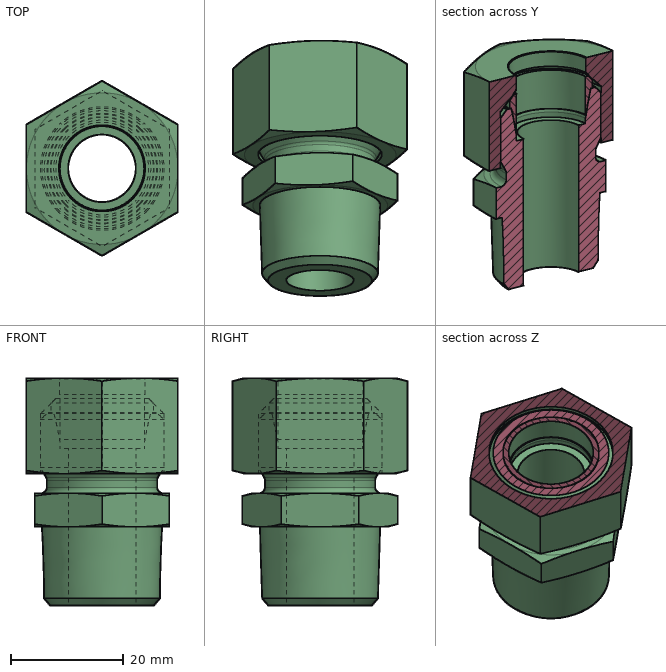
import cadquery as cq
import math


TOTAL_HEIGHT = 40.5
NUT_FLATS = 27.0
NUT_HEIGHT = 17.0
BODY_FLATS = 24.0
HEX_CHAMFER_ANGLE = 15.0

STUD_LENGTH = 14.0
STUD_TOP_DIA = 21.45
STUD_TIP_DIA = 18.45
STUD_TIP_CHAMFER_HEIGHT = 1.3
STUD_TAPER = 1 / 16
BODY_HEX_HEIGHT = 6.0
NECK_DIA = 19.7
NECK_FILLET_RADIUS = 1.05
NECK_LENGTH = 1.2
FLARE_START_DIA = 20.0
FLARE_ANGLE = 30.0
THREAD_DIA = 22.0
BODY_HEIGHT = 34.42
BODY_TOP_CHAMFER = 1.3

TUBE_DIA = 15.0
FLOW_DIA = 12.0
TUBE_STOP_Z = 28.0
CONE_MOUTH_DIA = 17.3
CONE_HALF_ANGLE = 12.0

NUT_BORE_DIA = 15.15
NUT_BORE_DEPTH = 2.88
NUT_BORE_CHAMFER = 0.12

RING_TOP_Z = 36.95
RING_BOTTOM_Z = 29.55
RING_DIA = 18.22

NUT_BOTTOM_Z = TOTAL_HEIGHT - NUT_HEIGHT
BODY_HEX_TOP_Z = STUD_LENGTH + BODY_HEX_HEIGHT
NECK_BOTTOM_Z = BODY_HEX_TOP_Z + NECK_FILLET_RADIUS
NECK_TOP_Z = NECK_BOTTOM_Z + NECK_LENGTH
FLARE_BLEND_STEP = (FLARE_START_DIA - NECK_DIA) / 2
FLARE_START_Z = NECK_TOP_Z + FLARE_BLEND_STEP / math.tan(math.radians(FLARE_ANGLE / 2))
FLARE_STEP = (THREAD_DIA - FLARE_START_DIA) / 2
FLARE_END_Z = FLARE_START_Z + FLARE_STEP / math.tan(math.radians(FLARE_ANGLE))
NUT_CONE_TOP_Z = TOTAL_HEIGHT - NUT_BORE_DEPTH
NUT_BORE_RADIUS = NUT_BORE_DIA / 2
TUBE_RADIUS = TUBE_DIA / 2
THREAD_RADIUS = THREAD_DIA / 2
CONE_SLOPE = math.tan(math.radians(CONE_HALF_ANGLE))


def revolve_profile(points):
    """Revolve a closed (radius, z) outline about the Z axis."""
    return cq.Workplane("YZ").polyline(points).close().revolve(360, (0, 0), (0, 1))


def chamfered_hexagon(flats, bottom_z, height):
    """Hexagonal prism with corners on +Y and -Y, turned conically at both ends."""
    corner_radius = flats / math.sqrt(3)
    flat_radius = flats / 2
    corner_drop = (corner_radius - flat_radius) * math.tan(math.radians(HEX_CHAMFER_ANGLE))
    top_z = bottom_z + height
    prism = (
        cq.Workplane("XY", origin=(0, 0, bottom_z))
        .polygon(6, 2 * corner_radius)
        .extrude(height)
        .rotate((0, 0, 0), (0, 0, 1), 30)
    )
    turned_envelope = revolve_profile([
        (0, bottom_z),
        (flat_radius, bottom_z),
        (corner_radius, bottom_z + corner_drop),
        (corner_radius, top_z - corner_drop),
        (flat_radius, top_z),
        (0, top_z),
    ])
    return prism.intersect(turned_envelope)


def mouth_radius(z):
    """Radius of the body's cone mouth at height z."""
    return CONE_MOUTH_DIA / 2 - (BODY_HEIGHT - z) * CONE_SLOPE


def nut_cone_z(radius):
    """Height at which the nut's internal 45 degree cone has the given radius."""
    return NUT_CONE_TOP_Z - (radius - NUT_BORE_RADIUS)


def make_stud():
    """Tapered stud with a chamfered tip, below the hexagon."""
    taper_height = STUD_LENGTH - STUD_TIP_CHAMFER_HEIGHT
    tip_edge_dia = STUD_TOP_DIA - taper_height * STUD_TAPER
    return revolve_profile([
        (0, 0),
        (STUD_TIP_DIA / 2, 0),
        (tip_edge_dia / 2, STUD_TIP_CHAMFER_HEIGHT),
        (STUD_TOP_DIA / 2, STUD_LENGTH),
        (0, STUD_LENGTH),
    ])


def make_neck_and_thread():
    """Waisted neck above the hexagon, flaring out to the thread cylinder."""
    neck_radius = NECK_DIA / 2
    thread_chamfer_z = BODY_HEIGHT - BODY_TOP_CHAMFER
    return (
        cq.Workplane("YZ")
        .moveTo(neck_radius, NECK_TOP_Z)
        .lineTo(neck_radius, NECK_BOTTOM_Z)
        .tangentArcPoint((neck_radius + NECK_FILLET_RADIUS, BODY_HEX_TOP_Z), relative=False)
        .lineTo(0, BODY_HEX_TOP_Z)
        .lineTo(0, BODY_HEIGHT)
        .lineTo(THREAD_RADIUS - BODY_TOP_CHAMFER, BODY_HEIGHT)
        .lineTo(THREAD_RADIUS, thread_chamfer_z)
        .lineTo(THREAD_RADIUS, FLARE_END_Z)
        .lineTo(FLARE_START_DIA / 2, FLARE_START_Z)
        .tangentArcPoint((neck_radius, NECK_TOP_Z), relative=False)
        .close()
        .revolve(360, (0, 0), (0, 1))
    )


def make_body_bore():
    """Flow bore, tube socket and cone mouth as one stepped cutter."""
    cone_bottom_z = BODY_HEIGHT - (CONE_MOUTH_DIA / 2 - TUBE_RADIUS) / CONE_SLOPE
    return revolve_profile([
        (0, 0),
        (FLOW_DIA / 2, 0),
        (FLOW_DIA / 2, TUBE_STOP_Z),
        (TUBE_RADIUS, TUBE_STOP_Z),
        (TUBE_RADIUS, cone_bottom_z),
        (CONE_MOUTH_DIA / 2, BODY_HEIGHT),
        (0, BODY_HEIGHT),
    ])


def make_body():
    hexagon = chamfered_hexagon(BODY_FLATS, STUD_LENGTH, BODY_HEX_HEIGHT)
    outside = make_stud().union(hexagon).union(make_neck_and_thread())
    return outside.cut(make_body_bore())


def make_ring():
    """Ring seated in the body's cone mouth and held down by the nut's cone."""
    ring_radius = RING_DIA / 2
    top_radius = NUT_BORE_RADIUS + NUT_CONE_TOP_Z - RING_TOP_Z
    bottom_radius = mouth_radius(RING_BOTTOM_Z)
    return revolve_profile([
        (TUBE_RADIUS, RING_BOTTOM_Z),
        (bottom_radius, RING_BOTTOM_Z),
        (CONE_MOUTH_DIA / 2, BODY_HEIGHT),
        (ring_radius, BODY_HEIGHT),
        (ring_radius, nut_cone_z(ring_radius)),
        (top_radius, RING_TOP_Z),
        (TUBE_RADIUS, RING_TOP_Z),
    ])


def make_nut():
    """Hexagon nut with a threaded bore, a 45 degree cone and a tube opening."""
    hexagon = chamfered_hexagon(NUT_FLATS, NUT_BOTTOM_Z, NUT_HEIGHT)
    bore = revolve_profile([
        (0, NUT_BOTTOM_Z),
        (THREAD_RADIUS, NUT_BOTTOM_Z),
        (THREAD_RADIUS, nut_cone_z(THREAD_RADIUS)),
        (NUT_BORE_RADIUS, NUT_CONE_TOP_Z),
        (NUT_BORE_RADIUS, TOTAL_HEIGHT - NUT_BORE_CHAMFER),
        (NUT_BORE_RADIUS + NUT_BORE_CHAMFER, TOTAL_HEIGHT),
        (0, TOTAL_HEIGHT),
    ])
    return hexagon.cut(bore)


body = make_body()
ring = make_ring()
nut = make_nut()

result = cq.Compound.makeCompound([body.val(), ring.val(), nut.val()])